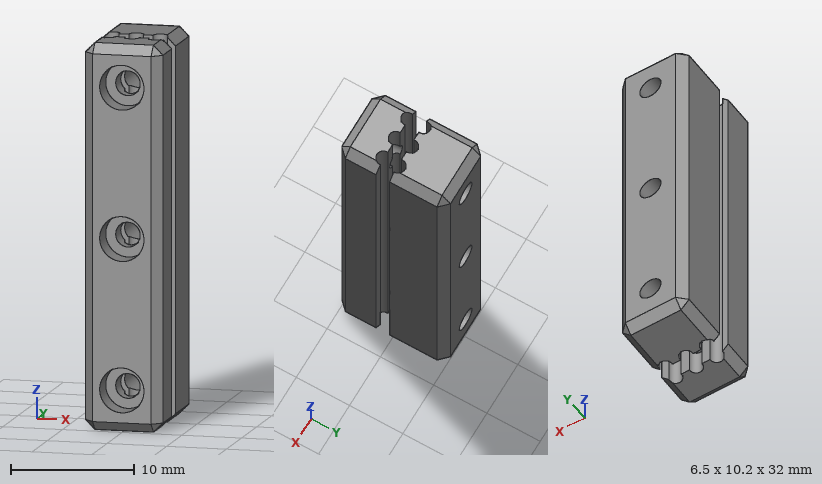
import cadquery as cq

LENGTH = 32.0
WIDTH = 6.5
DEPTH = 10.2
CHAMFER = 0.8

FRONT_THICKNESS = 3.68
BACK_THICKNESS = 5.25
FRONT_FACE_Y = -DEPTH / 2
BACK_FACE_Y = DEPTH / 2
FRONT_INNER_Y = FRONT_FACE_Y + FRONT_THICKNESS
BACK_INNER_Y = BACK_FACE_Y - BACK_THICKNESS

SCREW_PITCH = 12.5
SCREW_DIAMETER = 2.05
HEAD_DIAMETER = 3.7
HEAD_DEPTH = 2.0

GROOVE_PITCH = 2.0
GROOVE_OFFSET_X = -0.05
GROOVE_WIDTH = 1.2
FRONT_GROOVE_DEPTH = 0.67
BACK_GROOVE_DEPTH = 0.7


def jaw_blank(outer_y, inner_y):
    """Rectangular bar with every edge chamfered except those around its inner face."""
    center_y = (outer_y + inner_y) / 2
    blank = cq.Workplane("XY").box(WIDTH, abs(inner_y - outer_y), LENGTH)
    inner_face = ">Y" if inner_y > outer_y else "<Y"
    blank = blank.edges(f"not({inner_face})").chamfer(CHAMFER)
    return blank.translate((0, center_y, 0))


def grooves(inner_y, depth, direction):
    """Cutters for three grooves sunk into an inner face; direction is +1 or -1 along Y."""
    radius = GROOVE_WIDTH / 2
    arc_start_y = inner_y + direction * (depth - radius)
    bottom_y = inner_y + direction * depth
    cutters = cq.Workplane("XY").workplane(offset=-LENGTH / 2)
    for index in (-1, 0, 1):
        x = GROOVE_OFFSET_X + index * GROOVE_PITCH
        cutters = (
            cutters.moveTo(x - radius, inner_y)
            .lineTo(x - radius, arc_start_y)
            .threePointArc((x, bottom_y), (x + radius, arc_start_y))
            .lineTo(x + radius, inner_y)
            .close()
        )
    return cutters.extrude(LENGTH)


def screw_cylinders(diameter, length):
    """Cylinders at the three screw positions, starting at the front face and going +Y."""
    positions = [(0, index * SCREW_PITCH) for index in (-1, 0, 1)]
    plane = cq.Workplane("XZ", origin=(0, FRONT_FACE_Y, 0))
    return plane.pushPoints(positions).circle(diameter / 2).extrude(-length)


screw_holes = screw_cylinders(SCREW_DIAMETER, DEPTH)

front_jaw = (
    jaw_blank(FRONT_FACE_Y, FRONT_INNER_Y)
    .cut(grooves(FRONT_INNER_Y, FRONT_GROOVE_DEPTH, -1))
    .cut(screw_holes)
    .cut(screw_cylinders(HEAD_DIAMETER, HEAD_DEPTH))
)

back_jaw = (
    jaw_blank(BACK_FACE_Y, BACK_INNER_Y)
    .cut(grooves(BACK_INNER_Y, BACK_GROOVE_DEPTH, 1))
    .cut(screw_holes)
)

result = cq.Compound.makeCompound([front_jaw.val(), back_jaw.val()])